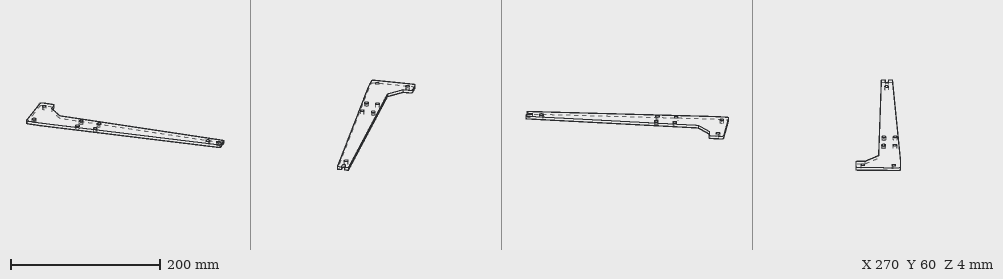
import cadquery as cq

length = 270.0
width = 60.0
thickness = 4.0
tab_width = 20.0
arm_top = width / 2
gusset_leg = 17.5
taper_start = 20.0
tip_height = 15.0
corner_radius = 3.0

mount_diameter = 5.0
mount_x = 8.5
mount_edge = 9.2

group_diameter = 5.0
group_x = 70.0
group_y = 8.6
group_pitch_x = 25.0
group_pitch_y = 15.0

tip_center_y = arm_top - tip_height / 2
tip_hole_diameter = 5.5
tip_hole_x = 250.0
slot_width = 4.0
slot_depth = 8.0


def make_plate():
    """Tapered arm with a tab, rounded at the three outer corners of the wide end."""
    plate = (
        cq.Workplane("XY")
        .moveTo(0, 0)
        .lineTo(taper_start, 0)
        .lineTo(length, arm_top - tip_height)
        .lineTo(length, arm_top)
        .lineTo(tab_width + gusset_leg, arm_top)
        .lineTo(tab_width, arm_top + gusset_leg)
        .lineTo(tab_width, width)
        .lineTo(0, width)
        .close()
        .extrude(thickness)
    )
    left_corners = plate.edges("|Z and <X")
    top_corners = plate.edges("|Z and >Y")
    return left_corners.add(top_corners).fillet(corner_radius)


def make_holes(diameter, centers):
    """Through-hole cutters at the given centers."""
    return cq.Workplane("XY").pushPoints(centers).circle(diameter / 2).extrude(thickness)


def make_tip_slot():
    """Slot cutter with a round inner end, open at the tip."""
    radius = slot_width / 2
    inner_x = length - slot_depth
    return (
        cq.Workplane("XY")
        .moveTo(length, tip_center_y + radius)
        .lineTo(inner_x + radius, tip_center_y + radius)
        .threePointArc((inner_x, tip_center_y), (inner_x + radius, tip_center_y - radius))
        .lineTo(length, tip_center_y - radius)
        .close()
        .extrude(thickness)
    )


mount_centers = [(mount_x, mount_edge), (mount_x, width - mount_edge)]
group_centers = [
    (group_x + column * group_pitch_x, group_y + row * group_pitch_y)
    for column in range(2)
    for row in range(2)
]

result = (
    make_plate()
    .cut(make_holes(mount_diameter, mount_centers))
    .cut(make_holes(group_diameter, group_centers))
    .cut(make_holes(tip_hole_diameter, [(tip_hole_x, tip_center_y)]))
    .cut(make_tip_slot())
)